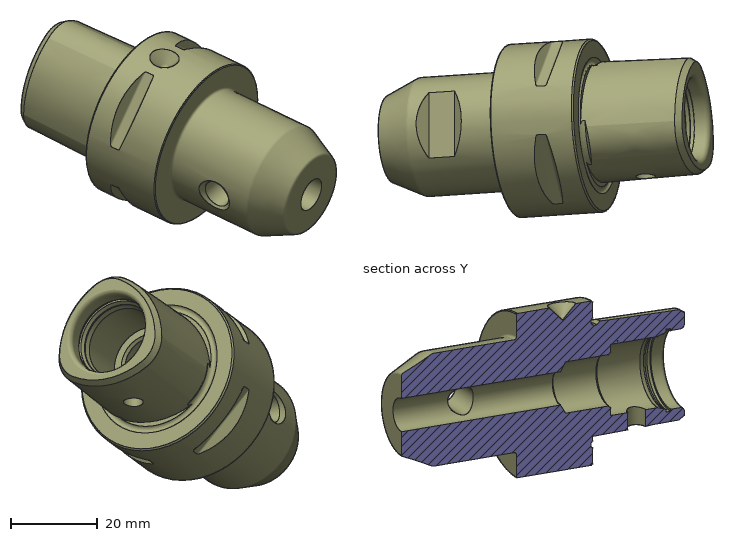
import cadquery as cq
import math

TOTAL_LENGTH = 74.0

SHANK_END = 24.0
TAPER_START = 1.5
TAPER_END = 22.3
SHANK_MEAN_RADIUS_FRONT = 13.5
SHANK_MEAN_RADIUS_BACK = 13.9
LOBE_HEIGHT = 0.9
SHANK_EDGE_INSET = 0.95

NECK_RADIUS = 14.0
UNDERCUT_START = 22.1
UNDERCUT_COVE_RADIUS = 0.95
UNDERCUT_FACE_RADIUS = 15.75

FLANGE_RADIUS = 40.0 / 2
FLANGE_END = 43.95
FLANGE_FRONT_CHAMFER = 0.4
FLANGE_BACK_CHAMFER = 0.2
GRIP_X = 31.9
GRIP_FLOOR_DISTANCE = 17.6
GRIP_FLOOR_WIDTH = 2.4
GRIP_WALL_ANGLE = 30.0
GRIP_FLOOR_FILLET = 0.5
DIMPLE_RADIUS = 3.5
DIMPLE_HALF_ANGLE = 45.0

BODY_RADIUS = 13.8
BODY_ROOT_FILLET = 0.6
NOSE_START = 65.8
NOSE_END_RADIUS = 10.0
NOSE_BLEND_RADIUS = 0.95
NOSE_TIP_FILLET = 0.75

SCREW_X = 56.4
SCREW_HOLE_RADIUS = 3.3
SCREW_SINK_RADIUS = 4.4
FLAT_X = 58.2
FLAT_DISTANCE = 11.4
FLAT_LENGTH = 6.15

MOUTH_RADIUS = 10.4
MOUTH_DEPTH = 1.2
MOUTH_EDGE_RADIUS = 1.2
ENTRY_BORE_RADIUS = 19.0 / 2
ENTRY_BORE_END = 3.7
LIP_RADIUS = 18.0 / 2
GROOVE_END = 4.7
GROOVE_RADIUS = 10.0
LIP_START = 5.55
LIP_END = 5.9
MAIN_BORE_START = 7.1
MAIN_BORE_RADIUS = 8.6
MAIN_BORE_END = 19.25
BOLT_SINK_RADIUS = 6.8
BOLT_HOLE_RADIUS = 12.35 / 2
BOLT_HOLE_END = 31.1
DRILL_POINT_HALF_ANGLE = 59.0
TOOL_BORE_RADIUS = 4.0

WALL_HOLE_X = 12.5
WALL_HOLE_RADIUS = 2.3


def revolve_about_x(profile):
    return profile.close().revolve(360, (0, 0, 0), (1, 0, 0))


def lobed_outline(plane, mean_radius):
    """Three tight lobe arcs joined tangentially by three flatter arcs."""
    lobe_arc_radius = mean_radius - LOBE_HEIGHT / (2 / math.sqrt(3) - 1)
    lobe_centre = mean_radius + LOBE_HEIGHT - lobe_arc_radius
    seam_y = lobe_arc_radius * math.sin(math.radians(30))
    seam_z = lobe_centre + lobe_arc_radius * math.cos(math.radians(30))
    seam_radius = math.hypot(seam_y, seam_z)
    seam_angle = math.degrees(math.atan2(seam_y, seam_z))

    def point(radius, angle_from_z):
        angle = math.radians(angle_from_z)
        return (radius * math.sin(angle), radius * math.cos(angle))

    outline = plane.moveTo(*point(seam_radius, -seam_angle))
    for lobe_angle in (0, 120, 240):
        outline = outline.threePointArc(
            point(mean_radius + LOBE_HEIGHT, lobe_angle),
            point(seam_radius, lobe_angle + seam_angle),
        ).threePointArc(
            point(mean_radius - LOBE_HEIGHT, lobe_angle + 60),
            point(seam_radius, lobe_angle + 120 - seam_angle),
        )
    return outline.close()


def lobed_loft(start_x, start_radius, end_x, end_radius):
    start = lobed_outline(cq.Workplane("YZ").workplane(offset=start_x), start_radius)
    end_plane = start.workplane(offset=end_x - start_x)
    return lobed_outline(end_plane, end_radius).loft(ruled=True)


def make_shank():
    """Bevelled tip, tapered length and a straight root."""
    tip_radius = SHANK_MEAN_RADIUS_FRONT - SHANK_EDGE_INSET
    edge = lobed_loft(0, tip_radius, TAPER_START, SHANK_MEAN_RADIUS_FRONT)
    taper = lobed_loft(TAPER_START, SHANK_MEAN_RADIUS_FRONT, TAPER_END, SHANK_MEAN_RADIUS_BACK)
    overlap = 0.75
    straight_plane = cq.Workplane("YZ").workplane(offset=TAPER_END)
    straight_length = SHANK_END + overlap - TAPER_END
    straight = lobed_outline(straight_plane, SHANK_MEAN_RADIUS_BACK).extrude(straight_length)
    return edge.union(taper).union(straight)


def make_flange():
    front = cq.Workplane("YZ").workplane(offset=SHANK_END)
    flange = front.circle(FLANGE_RADIUS).extrude(FLANGE_END - SHANK_END)
    return flange.faces("<X").chamfer(FLANGE_FRONT_CHAMFER).faces(">X").chamfer(FLANGE_BACK_CHAMFER)


def make_body():
    body = revolve_about_x(
        cq.Workplane("XY")
        .moveTo(FLANGE_END, 0)
        .lineTo(FLANGE_END, BODY_RADIUS)
        .lineTo(NOSE_START, BODY_RADIUS)
        .lineTo(TOTAL_LENGTH, NOSE_END_RADIUS)
        .lineTo(TOTAL_LENGTH, 0)
    )
    margin = 0.75
    nose_shoulder = cq.selectors.BoxSelector(
        (FLANGE_END + margin, -FLANGE_RADIUS, -FLANGE_RADIUS),
        (TOTAL_LENGTH - margin, FLANGE_RADIUS, FLANGE_RADIUS),
    )
    body = body.edges(nose_shoulder).fillet(NOSE_BLEND_RADIUS)
    body = body.faces(">X").edges().fillet(NOSE_TIP_FILLET)
    root = BODY_ROOT_FILLET
    bend = root * (1 - math.sqrt(0.5))
    root_fillet = revolve_about_x(
        cq.Workplane("XY")
        .moveTo(FLANGE_END, 0)
        .lineTo(FLANGE_END, BODY_RADIUS + root)
        .threePointArc((FLANGE_END + bend, BODY_RADIUS + bend), (FLANGE_END + root, BODY_RADIUS))
        .lineTo(FLANGE_END + root, 0)
    )
    return body.union(root_fillet)


def undercut():
    """Turned relief that trims the lobes and runs as a cove into the flange face."""
    cove_centre_radius = NECK_RADIUS + UNDERCUT_COVE_RADIUS
    rise = UNDERCUT_FACE_RADIUS - cove_centre_radius
    cove_x = SHANK_END - math.sqrt(UNDERCUT_COVE_RADIUS**2 - rise**2)
    cove_bottom = (cove_x + UNDERCUT_COVE_RADIUS, cove_centre_radius)
    lobe_radius = SHANK_MEAN_RADIUS_BACK + LOBE_HEIGHT
    return revolve_about_x(
        cq.Workplane("XY")
        .moveTo(UNDERCUT_START, UNDERCUT_FACE_RADIUS)
        .lineTo(UNDERCUT_START, lobe_radius)
        .lineTo(UNDERCUT_START + lobe_radius - NECK_RADIUS, NECK_RADIUS)
        .lineTo(cove_x, NECK_RADIUS)
        .threePointArc(cove_bottom, (SHANK_END, UNDERCUT_FACE_RADIUS))
    )


def bore():
    """Stepped bore along the whole tool axis, with a ring groove near the mouth."""
    drill_slope = math.tan(math.radians(DRILL_POINT_HALF_ANGLE))
    drill_point_length = (BOLT_HOLE_RADIUS - TOOL_BORE_RADIUS) / drill_slope
    return revolve_about_x(
        cq.Workplane("XY")
        .lineTo(0, MOUTH_RADIUS)
        .radiusArc((MOUTH_DEPTH, ENTRY_BORE_RADIUS), -MOUTH_EDGE_RADIUS)
        .lineTo(ENTRY_BORE_END, ENTRY_BORE_RADIUS)
        .lineTo(ENTRY_BORE_END, GROOVE_RADIUS)
        .lineTo(GROOVE_END, GROOVE_RADIUS)
        .lineTo(GROOVE_END, ENTRY_BORE_RADIUS)
        .lineTo(LIP_START, LIP_RADIUS)
        .lineTo(LIP_END, LIP_RADIUS)
        .lineTo(MAIN_BORE_START, MAIN_BORE_RADIUS)
        .lineTo(MAIN_BORE_END, MAIN_BORE_RADIUS)
        .lineTo(MAIN_BORE_END, BOLT_SINK_RADIUS)
        .lineTo(MAIN_BORE_END + BOLT_SINK_RADIUS - BOLT_HOLE_RADIUS, BOLT_HOLE_RADIUS)
        .lineTo(BOLT_HOLE_END, BOLT_HOLE_RADIUS)
        .lineTo(BOLT_HOLE_END + drill_point_length, TOOL_BORE_RADIUS)
        .lineTo(TOTAL_LENGTH, TOOL_BORE_RADIUS)
        .lineTo(TOTAL_LENGTH, 0)
    )


def wall_hole():
    shank_axis = cq.Vector(WALL_HOLE_X, 0, 0)
    return cq.Workplane(
        cq.Solid.makeCylinder(WALL_HOLE_RADIUS, FLANGE_RADIUS, shank_axis, cq.Vector(0, 0, -1))
    )


def grip_groove(angle):
    """V-sided tangential groove, turned about X away from the top."""
    depth = FLANGE_RADIUS - GRIP_FLOOR_DISTANCE
    half_floor = GRIP_FLOOR_WIDTH / 2
    half_top = half_floor + depth * math.tan(math.radians(GRIP_WALL_ANGLE))
    groove = (
        cq.Workplane("XZ")
        .moveTo(GRIP_X - half_floor, GRIP_FLOOR_DISTANCE)
        .lineTo(GRIP_X + half_floor, GRIP_FLOOR_DISTANCE)
        .lineTo(GRIP_X + half_top, FLANGE_RADIUS)
        .lineTo(GRIP_X - half_top, FLANGE_RADIUS)
        .close()
        .extrude(FLANGE_RADIUS, both=True)
        .faces("<Z")
        .edges("|Y")
        .fillet(GRIP_FLOOR_FILLET)
    )
    return groove.rotate((0, 0, 0), (1, 0, 0), angle)


def dimple():
    """Conical dimple on the top of the flange."""
    depth = DIMPLE_RADIUS / math.tan(math.radians(DIMPLE_HALF_ANGLE))
    cone = cq.Solid.makeCone(
        DIMPLE_RADIUS, 0, depth, pnt=cq.Vector(GRIP_X, 0, FLANGE_RADIUS), dir=cq.Vector(0, 0, -1)
    )
    return cq.Workplane(cone)


def screw_hole():
    """Countersunk hole from the -Y side into the tool bore."""
    mouth = cq.Vector(SCREW_X, -BODY_RADIUS, 0)
    inward = cq.Vector(0, 1, 0)
    hole = cq.Solid.makeCylinder(SCREW_HOLE_RADIUS, BODY_RADIUS, mouth, inward)
    sink_depth = SCREW_SINK_RADIUS - SCREW_HOLE_RADIUS
    sink = cq.Solid.makeCone(SCREW_SINK_RADIUS, SCREW_HOLE_RADIUS, sink_depth, mouth, inward)
    return cq.Workplane(hole).union(cq.Workplane(sink))


def body_flat():
    """Flat across the +Y side with 45 degree end walls."""
    half_floor = FLAT_LENGTH / 2
    half_top = half_floor + BODY_RADIUS - FLAT_DISTANCE
    return (
        cq.Workplane("XY")
        .moveTo(FLAT_X - half_floor, FLAT_DISTANCE)
        .lineTo(FLAT_X + half_floor, FLAT_DISTANCE)
        .lineTo(FLAT_X + half_top, BODY_RADIUS)
        .lineTo(FLAT_X - half_top, BODY_RADIUS)
        .close()
        .extrude(BODY_RADIUS, both=True)
    )


result = make_shank().union(make_flange()).union(make_body())
result = result.cut(undercut()).cut(bore()).cut(wall_hole())
for groove_angle in (45, 135, 225, 315):
    result = result.cut(grip_groove(groove_angle))
result = result.cut(dimple()).cut(screw_hole()).cut(body_flat())